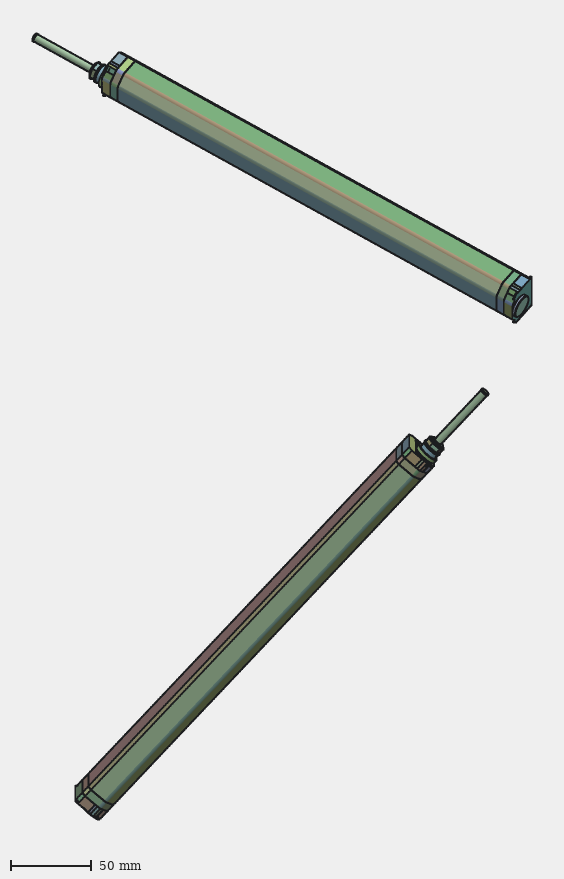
import cadquery as cq
import math

total_length = 369.8
cable_length = 56.0
disc_length = 2.2
housing_length = total_length - cable_length - disc_length

housing_height = 28.0
half_height = housing_height / 2
back_y = 13.5
front_y = -7.5
front_bevel = 6.5
front_edge_radius = 3.5
back_chamfer = 2.2

selection_margin = 0.5

cap_length = 6.5
collar_end = 12.2
seam_width = 0.15
seam_depth = 0.2

step_y = 3.0
step_depth = 0.2

pad_drop = 2.5
low_pad_rise = 0.5
tab_rise = 2.5
tab_length = 0.7
pad_root = 2.0

screw_radius = 1.5
screw_depth = 2.2
screw_z = 11.0
screw_ys = (6.5, -1.5)

seat_back_y = 7.8
seat_width = 17.7
seat_depth = 0.5

plate_length = 1.0
disc_radius = 7.5
disc_chamfer = 0.5

flange_length = 2.2
flange_radius = 7.5
gland_length = 3.5
gland_radius = 6.0
ring_length = 1.0
ring_radius = 6.3
nut_length = 3.5
nut_corner_radius = 6.0
washer_length = 0.5
washer_radius = 6.0
nose_length = 1.0
nose_radius = 4.5
cable_radius = 2.5
tip_length = 1.0
tip_radius = 2.77


def block(x_range, y_range, z_range):
    """Box given by its lower and upper limits along each axis."""
    limits = (x_range, y_range, z_range)
    sizes = [upper - lower for lower, upper in limits]
    corner = cq.Vector(*[lower for lower, upper in limits])
    return cq.Workplane("XY").add(cq.Solid.makeBox(*sizes, corner))


def rod(start_x, length, radius):
    """Cylinder on the cable axis."""
    return cq.Workplane("YZ", origin=(start_x, 0, 0)).circle(radius).extrude(length)


def profile(start_x, length, inset=0.0):
    """Length of the housing cross-section, with every side moved inward by inset."""
    top = half_height - inset
    back = back_y - inset
    front = front_y + inset
    leg_loss = (2 - math.sqrt(2)) * inset
    bevel = front_bevel - leg_loss
    chamfer = back_chamfer - leg_loss
    upper = [
        (back, top - chamfer),
        (back - chamfer, top),
        (front + bevel, top),
        (front, top - bevel),
    ]
    lower = [(y, -z) for y, z in reversed(upper)]
    solid = cq.Workplane("YZ", origin=(start_x, 0, 0)).polyline(upper + lower).close().extrude(length)
    front_edges = cq.selectors.BoxSelector(
        (start_x, front - selection_margin, -half_height - selection_margin),
        (start_x + length, front + bevel + selection_margin, half_height + selection_margin),
    )
    return solid.edges("|X").edges(front_edges).fillet(front_edge_radius)


def seam(center_x):
    """Thin band removed all around the profile."""
    start_x = center_x - seam_width / 2
    return profile(start_x, seam_width).cut(profile(start_x, seam_width, seam_depth))


def bevel_pad(start_x, length, rise, side):
    """Pad on the upper (side 1) or lower (side -1) bevel, its root sunk into the cap."""
    bevel_top_y = front_y + front_bevel
    top_y = bevel_top_y - rise
    outer_y = top_y - pad_drop
    outer_z = half_height - pad_drop
    sink = pad_root + rise / 2
    points = [
        (top_y, half_height),
        (outer_y, outer_z),
        (outer_y + sink, outer_z - sink),
        (bevel_top_y + pad_root, half_height - pad_root),
        (bevel_top_y + pad_root, half_height),
    ]
    outline = [(y, side * z) for y, z in points]
    return cq.Workplane("YZ", origin=(start_x, 0, 0)).polyline(outline).close().extrude(length)


def make_housing():
    body = profile(0, housing_length)
    for distance in (cap_length, collar_end):
        body = body.cut(seam(distance)).cut(seam(housing_length - distance))

    far_cap_x = housing_length - cap_length
    for side in (1, -1):
        for cap_x, tab_x in ((0, 0), (far_cap_x, housing_length - tab_length)):
            step_z = sorted((side * (half_height - step_depth), side * half_height))
            body = body.cut(block((cap_x, cap_x + cap_length), (front_y, step_y), step_z))
            body = body.union(bevel_pad(cap_x, cap_length, low_pad_rise, side))
            body = body.union(bevel_pad(tab_x, tab_length, tab_rise, side))

        for y in screw_ys:
            hole = cq.Workplane("YZ").center(y, side * screw_z).circle(screw_radius).extrude(screw_depth)
            body = body.cut(hole)

        plate_z = sorted((side * (half_height - back_chamfer), side * half_height))
        body = body.union(
            block((housing_length - plate_length, housing_length), (back_y - back_chamfer, back_y), plate_z)
        )

    body = body.cut(block((0, seat_depth), (front_y, seat_back_y), (-seat_width / 2, seat_width / 2)))

    disc = rod(housing_length, disc_length, disc_radius).faces(">X").edges().chamfer(disc_chamfer)
    return body.union(disc)


def make_cable():
    x = -flange_length
    cable = rod(x, flange_length + seat_depth, flange_radius)

    x -= gland_length
    cable = cable.union(rod(x, gland_length, gland_radius))
    x -= ring_length
    cable = cable.union(rod(x, ring_length, ring_radius))

    x -= nut_length
    nut = cq.Workplane("YZ", origin=(x, 0, 0)).polygon(6, 2 * nut_corner_radius).extrude(nut_length)
    cable = cable.union(nut)

    x -= washer_length
    cable = cable.union(rod(x, washer_length, washer_radius))
    x -= nose_length
    cable = cable.union(rod(x, nose_length, nose_radius))

    cable = cable.union(rod(-cable_length, cable_length + x, cable_radius))
    return cable.union(rod(-cable_length, tip_length, tip_radius))


housing = make_housing()
cable = make_cable()
result = cq.Compound.makeCompound([*housing.solids().vals(), *cable.solids().vals()])